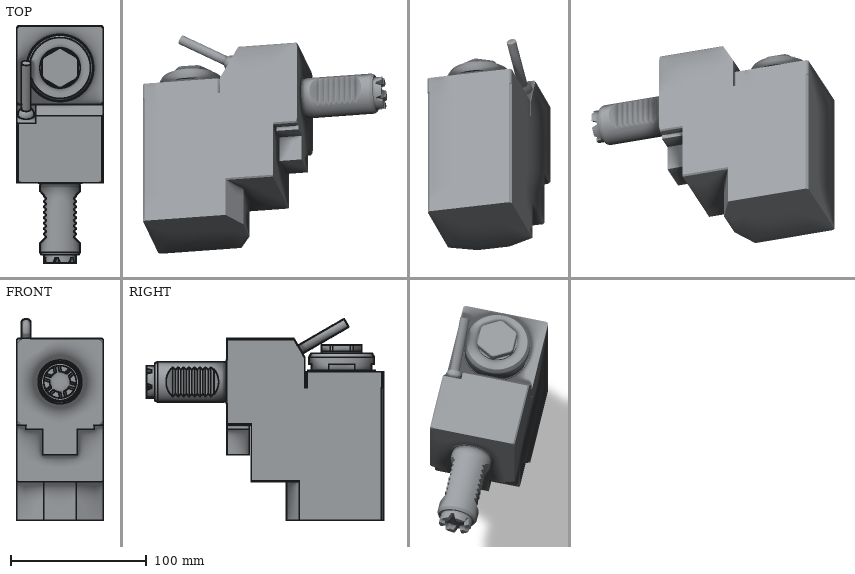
import cadquery as cq
import math


WIDTH = 64.0
LENGTH = 175.0
HEIGHT = 148.8
HALF_WIDTH = WIDTH / 2
BASE_Z = -102.2
TIP_Z = BASE_Z + HEIGHT
SHANK_END_Y = -59.3
BACK_Y = SHANK_END_Y + LENGTH

FLANGE_DEPTH = 18.0
FLANGE_HALF = HALF_WIDTH
HOUSING_BOTTOM_Z = -73.9
WALL_Y = 57.6
EDGE_CHAMFER = 1.0
BACK_CHAMFER = 1.8
FLANGE_CORNER_CUT = 3.5
FLANGE_CORNER_DEPTH = 0.5

SLOPE_ANGLE = 60.0
SLOPE_BOTTOM_Z = 17.9
POCKET_BOTTOM_Z = 8.2
POCKET_WIDTH = 14.0

BLOCK_SIDE_Y = 53.5
BLOCK_FRONT_Y = 44.0
BLOCK_FRONT_HALF = 12.0

LID_BOTTOM_Z = -4.2
LID_TOP_Z = 7.5
LID_GAP = 0.4
LID_BACK_CHAMFER = 1.2
LID_FRONT_CHAMFER = 1.5

KEY_DEPTH = 16.6
KEY_HALF = 12.6
KEY_BOTTOM_Z = -54.0
KEY_HEAD_HALF = 25.2
KEY_HEAD_BOTTOM_Z = -35.0

CAP_Y = 84.7
CAP_RING_DIAMETER = 49.7
CAP_RING_HEIGHT = 0.9
CAP_DIAMETER = 48.5
CAP_TOP_Z = 21.2
CAP_CHAMFER_RADIAL = 1.8
CAP_CHAMFER_HEIGHT = 3.2
CAP_FLAT_DISTANCE = 22.2
CAP_FLAT_TOP_Z = 13.1
COLLAR_DIAMETER = 29.8
COLLAR_TOP_Z = 22.5
HEX_TOP_Z = 27.5
HEX_ACROSS_FLATS = 27.0
HEX_CORNER_DIAMETER = 30.0
HEX_CHAMFER = 0.5
HEX_SIDES = 6

PIPE_X = -25.0
PIPE_DIAMETER = 7.0
PIPE_BALL_RADIUS = 6.1
PIPE_SLOPE_DISTANCE = 15.2

SHANK_DIAMETER = 29.8
SHANK_NECK_DIAMETER = 29.0
SHANK_NECK_LENGTH = 1.0
SHANK_LEAD_Y = -2.3
SHANK_SHOULDER_Y = -53.2
SHANK_CHAMFER_RADIAL = 1.0
SHANK_CHAMFER_LENGTH = 2.1

SEAL_OUTER_DIAMETER = 32.9
SEAL_SECTION_DIAMETER = 2.1
SEAL_PROTRUSION = 0.4

SERRATION_PITCH = 4.0
SERRATION_COUNT = 8
SERRATION_CENTER_Y = -23.8
SERRATION_ROOT = 10.2
SERRATION_CREST = 12.0
SERRATION_ENTRY = 11.7
CUT_CLEARANCE = 1.8

DOG_DIAMETER = 24.0
DOG_BORE_DIAMETER = 15.2
DOG_HEIGHT = 4.0
DOG_COUNT = 6
DOG_SLOT_BOTTOM = 2.1
DOG_SLOT_TOP = 5.3
DOG_FIRST_ANGLE = 42.0

SLOPE_RUN = 1 / math.tan(math.radians(SLOPE_ANGLE))

SELECT_MARGIN = 0.2


def block(x_range, y_range, z_range):
    """Box spanning the given ranges."""
    size = [high - low for low, high in (x_range, y_range, z_range)]
    box = cq.Workplane("XY").box(*size, centered=False)
    return box.translate((x_range[0], y_range[0], z_range[0]))


def slope_y(z, bottom_z):
    """Y of a slope that leaves the vertical wall at bottom_z."""
    return WALL_Y - (z - bottom_z) * SLOPE_RUN


def disc(diameter, bottom_z, top_z):
    """Vertical disc on the cap axis."""
    height = top_z - bottom_z
    return cq.Workplane("XY", origin=(0, CAP_Y, bottom_z)).circle(diameter / 2).extrude(height)


def make_housing():
    """Stepped body with its flange, sloped shoulder and lower block."""
    top_z = FLANGE_HALF
    profile = [
        (0, -FLANGE_HALF),
        (0, top_z),
        (slope_y(top_z, SLOPE_BOTTOM_Z), top_z),
        (WALL_Y, SLOPE_BOTTOM_Z),
        (WALL_Y, LID_BOTTOM_Z),
        (BACK_Y, LID_BOTTOM_Z),
        (BACK_Y, HOUSING_BOTTOM_Z),
        (FLANGE_DEPTH, HOUSING_BOTTOM_Z),
        (FLANGE_DEPTH, -FLANGE_HALF),
    ]
    housing = cq.Workplane("YZ").polyline(profile).close().extrude(HALF_WIDTH, both=True)
    housing = housing.edges("|Z and >Y").chamfer(BACK_CHAMFER)
    for z in (top_z, -FLANGE_HALF, HOUSING_BOTTOM_Z):
        low_corner = (-WIDTH, -LENGTH, z - SELECT_MARGIN)
        high_corner = (WIDTH, LENGTH, z + SELECT_MARGIN)
        level = cq.selectors.BoxSelector(low_corner, high_corner)
        housing = housing.edges(level).edges("|Y").chamfer(EDGE_CHAMFER)
    return housing.union(make_lower_block())


def make_lower_block():
    """Lower block, carried up inside the housing to the lid seat."""
    outline = [
        (-HALF_WIDTH + BACK_CHAMFER, BACK_Y),
        (-HALF_WIDTH, BACK_Y - BACK_CHAMFER),
        (-HALF_WIDTH, BLOCK_SIDE_Y),
        (-BLOCK_FRONT_HALF, BLOCK_FRONT_Y),
        (BLOCK_FRONT_HALF, BLOCK_FRONT_Y),
        (HALF_WIDTH, BLOCK_SIDE_Y),
        (HALF_WIDTH, BACK_Y - BACK_CHAMFER),
        (HALF_WIDTH - BACK_CHAMFER, BACK_Y),
    ]
    plane = cq.Workplane("XY", origin=(0, 0, BASE_Z))
    return plane.polyline(outline).close().extrude(LID_BOTTOM_Z - BASE_Z)


def make_pocket():
    """Cutter that sets back the slope at the -X corner for the coolant pipe."""
    top_z = FLANGE_HALF
    profile = [
        (WALL_Y, POCKET_BOTTOM_Z),
        (slope_y(top_z, POCKET_BOTTOM_Z), top_z),
        (WALL_Y, top_z),
    ]
    plane = cq.Workplane("YZ", origin=(-HALF_WIDTH, 0, 0))
    return plane.polyline(profile).close().extrude(POCKET_WIDTH)


def make_flange_corner_cuts():
    """Small sloping cuts across the four corners of the flange face."""
    cutter = (
        cq.Workplane("XZ", origin=(HALF_WIDTH, 0, FLANGE_HALF))
        .polyline([(-FLANGE_CORNER_CUT, 0), (0, -FLANGE_CORNER_CUT), (0, 0)])
        .close()
        .workplane(offset=-FLANGE_CORNER_DEPTH)
        .polyline([(-EDGE_CHAMFER, 0), (0, -EDGE_CHAMFER), (0, 0)])
        .close()
        .loft(ruled=True)
    )
    cuts = cutter
    for angle in (90, 180, 270):
        cuts = cuts.union(cutter.rotate((0, 0, 0), (0, 1, 0), angle))
    return cuts


def make_lid():
    """Plate on the lid seat, just clear of the vertical wall."""
    lid = block((-HALF_WIDTH, HALF_WIDTH), (WALL_Y + LID_GAP, BACK_Y), (LID_BOTTOM_Z, LID_TOP_Z))
    lid = lid.edges("|Z and >Y").chamfer(LID_BACK_CHAMFER)
    return lid.edges("|Z and <Y").chamfer(LID_FRONT_CHAMFER)


def make_key():
    """Tee key hanging below the flange."""
    y_range = (0, KEY_DEPTH)
    stem = block((-KEY_HALF, KEY_HALF), y_range, (KEY_BOTTOM_Z, -FLANGE_HALF))
    head = block((-KEY_HEAD_HALF, KEY_HEAD_HALF), y_range, (KEY_HEAD_BOTTOM_Z, -FLANGE_HALF))
    return stem.union(head)


def make_cap():
    """Round cap with four spanner flats and a hexagon on top."""
    radius = CAP_DIAMETER / 2
    ring_top_z = LID_TOP_Z + CAP_RING_HEIGHT
    profile = [
        (0, ring_top_z),
        (radius, ring_top_z),
        (radius, CAP_TOP_Z - CAP_CHAMFER_HEIGHT),
        (radius - CAP_CHAMFER_RADIAL, CAP_TOP_Z),
        (0, CAP_TOP_Z),
    ]
    cap = cq.Workplane("XZ").polyline(profile).close().revolve(360, (0, 0, 0), (0, 1, 0))
    flat_cut = block((CAP_FLAT_DISTANCE, CAP_DIAMETER), (-radius, radius), (ring_top_z, CAP_FLAT_TOP_Z))
    for angle in (0, 90, 180, 270):
        cap = cap.cut(flat_cut.rotate((0, 0, 0), (0, 0, 1), angle))
    cap = cap.translate((0, CAP_Y, 0))

    hex_height = HEX_TOP_Z - COLLAR_TOP_Z
    half_side_angle = 180 / HEX_SIDES
    hex_size = HEX_ACROSS_FLATS / math.cos(math.radians(half_side_angle))
    hexagon = (
        cq.Workplane("XY", origin=(0, CAP_Y, COLLAR_TOP_Z))
        .polygon(HEX_SIDES, hex_size)
        .extrude(hex_height)
        .rotate((0, CAP_Y, 0), (0, CAP_Y, 1), half_side_angle)
    )
    rounded_hexagon = hexagon.intersect(disc(HEX_CORNER_DIAMETER, COLLAR_TOP_Z, HEX_TOP_Z))
    rounded_hexagon = rounded_hexagon.faces(">Z").chamfer(HEX_CHAMFER)
    ring = disc(CAP_RING_DIAMETER, LID_TOP_Z, ring_top_z)
    collar = disc(COLLAR_DIAMETER, CAP_TOP_Z, COLLAR_TOP_Z)
    return cap.union(ring).union(collar).union(rounded_hexagon)


def make_pipe():
    """Pipe and ball seat standing square to the pocket slope, up to the top of the part."""
    slope = math.radians(SLOPE_ANGLE)
    foot_z = POCKET_BOTTOM_Z + PIPE_SLOPE_DISTANCE * math.sin(slope)
    foot = cq.Vector(PIPE_X, slope_y(foot_z, POCKET_BOTTOM_Z), foot_z)
    direction = cq.Vector(0, math.sin(slope), math.cos(slope))
    tip_rise = PIPE_DIAMETER / 2 * math.sin(slope)
    length = (TIP_Z - tip_rise - foot_z) / math.cos(slope)
    pipe = cq.Workplane(cq.Plane(foot, (1, 0, 0), direction)).circle(PIPE_DIAMETER / 2).extrude(length)
    ball = cq.Workplane("XY").sphere(PIPE_BALL_RADIUS).translate(foot)
    return pipe.union(ball)


def make_shank():
    """Turned shank with serrated sides."""
    radius = SHANK_DIAMETER / 2
    neck_radius = SHANK_NECK_DIAMETER / 2
    dog_radius = DOG_DIAMETER / 2
    profile = [
        (0, 0),
        (neck_radius, 0),
        (neck_radius, -SHANK_NECK_LENGTH),
        (radius, SHANK_LEAD_Y),
        (radius, SHANK_SHOULDER_Y + SHANK_CHAMFER_LENGTH),
        (radius - SHANK_CHAMFER_RADIAL, SHANK_SHOULDER_Y),
        (dog_radius, SHANK_SHOULDER_Y),
        (dog_radius, SHANK_END_Y),
        (0, SHANK_END_Y),
    ]
    shank = cq.Workplane("XY").polyline(profile).close().revolve(360, (0, 0, 0), (0, 1, 0))
    serration = make_serration_cut()
    return shank.cut(serration).cut(serration.mirror("YZ")).cut(make_dog_cuts())


def make_serration_cut():
    """Cutter leaving a row of upright teeth on the +X side; the first tooth is nearly cut away."""
    half_pitch = SERRATION_PITCH / 2
    flank_slope = half_pitch / (SERRATION_CREST - SERRATION_ROOT)
    outer_x = SHANK_DIAMETER / 2 + CUT_CLEARANCE
    first_crest_y = SERRATION_CENTER_Y + (SERRATION_COUNT - 1) * half_pitch
    entry_y = first_crest_y + (SERRATION_CREST - SERRATION_ENTRY) * flank_slope
    points = [
        (outer_x, entry_y + (outer_x - SERRATION_ENTRY) * flank_slope),
        (SERRATION_ENTRY, entry_y),
    ]
    for index in range(SERRATION_COUNT):
        crest_y = first_crest_y - index * SERRATION_PITCH
        points.append((SERRATION_CREST, crest_y))
        points.append((SERRATION_ROOT, crest_y - half_pitch))
    last_root_y = crest_y - half_pitch
    points.append((outer_x, last_root_y - (outer_x - SERRATION_ROOT) * flank_slope))
    return cq.Workplane("XY").polyline(points).close().extrude(SHANK_DIAMETER, both=True)


def make_dog_cuts():
    """Central recess and tapered radial slots that leave the drive dogs."""
    floor_y = SHANK_END_Y + DOG_HEIGHT
    cuts = cq.Workplane("XZ", origin=(0, floor_y, 0)).circle(DOG_BORE_DIAMETER / 2).extrude(DOG_HEIGHT)
    slot_profile = [
        (floor_y, -DOG_SLOT_BOTTOM / 2),
        (floor_y, DOG_SLOT_BOTTOM / 2),
        (SHANK_END_Y, DOG_SLOT_TOP / 2),
        (SHANK_END_Y, -DOG_SLOT_TOP / 2),
    ]
    slot = cq.Workplane("YZ").polyline(slot_profile).close().extrude(DOG_DIAMETER)
    for index in range(DOG_COUNT):
        angle = DOG_FIRST_ANGLE + index * 360 / DOG_COUNT
        cuts = cuts.union(slot.rotate((0, 0, 0), (0, 1, 0), -angle))
    return cuts


def make_seal_ring():
    """Round-section ring set into the flange face."""
    section_radius = SEAL_SECTION_DIAMETER / 2
    center_radius = SEAL_OUTER_DIAMETER / 2 - section_radius
    center_y = section_radius - SEAL_PROTRUSION
    section = cq.Workplane("XY").moveTo(center_radius, center_y).circle(section_radius)
    return section.revolve(360, (0, 0, 0), (0, 1, 0))


housing = make_housing().cut(make_pocket()).cut(make_flange_corner_cuts())
features = [make_lid(), make_key(), make_cap(), make_pipe(), make_shank(), make_seal_ring()]
result = housing
for feature in features:
    result = result.union(feature)